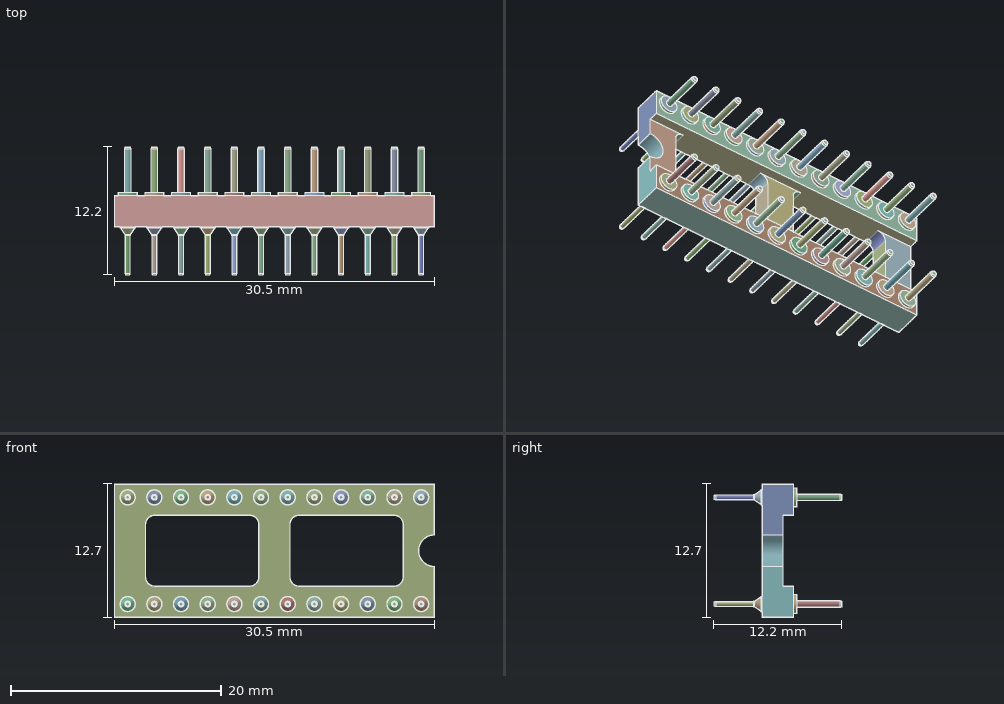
import cadquery as cq

length = 30.48
pin_count = 12
wall = 3.0
recess_depth = 1.0
corner_radius = 0.85
notch_radius = 1.5

pitch = length / pin_count
height = 5 * pitch
row_spacing = 4 * pitch

window_width = (length - 3 * wall) / 2
window_height = height - 2 * wall
window_spacing = window_width + wall

pin_reach = 4.6
front_pin_diameter = 0.5
back_pin_diameter = 0.65
tip_chamfer = 0.05
tip_length = 0.18
collar_diameter = 1.83
collar_thickness = 0.3
shoulder_diameter = 1.45
cone_diameter = 1.4
shoulder_land = 0.1
shoulder_length = 0.82
neck_diameter = 0.55
neck_length = 0.1

front_face = -wall / 2
back_face = wall / 2


def make_frame():
    """Rectangular frame with two windows, a recessed back and an end notch."""
    frame = cq.Workplane("XY").box(length, wall, height)

    windows = (
        cq.Workplane("XY")
        .pushPoints([(-window_spacing / 2, 0), (window_spacing / 2, 0)])
        .box(window_width, wall, window_height)
        .edges("|Y")
        .fillet(corner_radius)
    )
    recess = (
        cq.Workplane("XY")
        .box(length, recess_depth, window_height)
        .translate((0, back_face - recess_depth / 2, 0))
    )
    notch = (
        cq.Workplane("XZ")
        .center(length / 2, 0)
        .circle(notch_radius)
        .extrude(wall / 2, both=True)
    )
    return frame.cut(windows).cut(recess).cut(notch)


def make_pin():
    """One pin turned about the Y axis, passing through the whole frame."""
    front_tip = front_face - pin_reach
    back_tip = back_face + pin_reach
    shoulder_end = front_face - shoulder_length
    collar_end = back_face + collar_thickness
    return (
        cq.Workplane("XY")
        .moveTo(0, front_tip)
        .lineTo(front_pin_diameter / 2 - tip_chamfer, front_tip)
        .lineTo(front_pin_diameter / 2, front_tip + tip_length)
        .lineTo(front_pin_diameter / 2, shoulder_end)
        .lineTo(neck_diameter / 2, shoulder_end)
        .lineTo(neck_diameter / 2, shoulder_end + neck_length)
        .lineTo(cone_diameter / 2, front_face - shoulder_land)
        .lineTo(shoulder_diameter / 2, front_face - shoulder_land)
        .lineTo(shoulder_diameter / 2, back_face)
        .lineTo(collar_diameter / 2, back_face)
        .lineTo(collar_diameter / 2, collar_end)
        .lineTo(back_pin_diameter / 2, collar_end)
        .lineTo(back_pin_diameter / 2, back_tip - tip_length)
        .lineTo(back_pin_diameter / 2 - tip_chamfer, back_tip)
        .lineTo(0, back_tip)
        .close()
        .revolve(360, (0, 0, 0), (0, 1, 0))
        .val()
    )


def place_pins():
    """Two rows of pins, centred on the frame."""
    pin = make_pin()
    first_x = -pitch * (pin_count - 1) / 2
    return [
        pin.translate(cq.Vector(first_x + column * pitch, 0, row_z))
        for row_z in (-row_spacing / 2, row_spacing / 2)
        for column in range(pin_count)
    ]


result = cq.Workplane("XY").newObject([make_frame().val().fuse(*place_pins())])